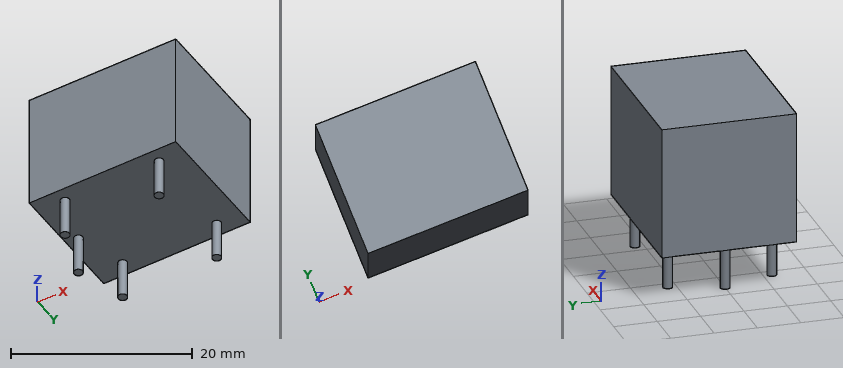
import cadquery as cq

housing_length = 19.0
housing_width = 15.53
housing_height = 15.3

pin_diameter = 1.1
overall_height = 20.39
pin_length = overall_height - housing_height

common_pin_inset = 1.55
coil_pin_offset = 2.0
contact_pin_offset = 14.2
pin_pair_spacing = 12.0

common_x = -housing_length / 2 + common_pin_inset
coil_x = common_x + coil_pin_offset
contact_x = common_x + contact_pin_offset
pair_y = pin_pair_spacing / 2

pin_positions = [(common_x, 0)]
for pair_x in (coil_x, contact_x):
    for side in (-1, 1):
        pin_positions.append((pair_x, side * pair_y))


def make_housing():
    """Block centred on Z axis, with its bottom face on Z = 0."""
    return cq.Workplane("XY").box(
        housing_length, housing_width, housing_height, centered=(True, True, False)
    )


def make_pin(x, y):
    """Straight round pin whose top touches the bottom of the housing."""
    return cq.Workplane("XY").center(x, y).circle(pin_diameter / 2).extrude(-pin_length)


housing = make_housing()
pins = [make_pin(x, y) for x, y in pin_positions]

result = cq.Compound.makeCompound([housing.val(), *[pin.val() for pin in pins]])